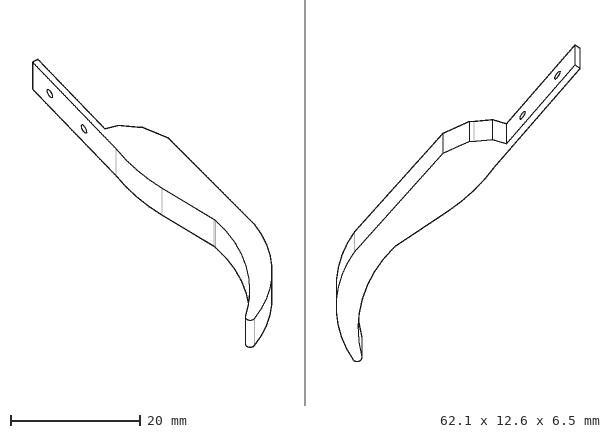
import cadquery as cq
import math

LENGTH = 62.12
DEPTH = 12.6
HEIGHT = 6.5

STRAP_TOP_Y = 6.2
STRAP_THICKNESS = 1.02
STRAP_SLOPE_ANGLE = 0.9
STRAP_SLOPE = math.tan(math.radians(STRAP_SLOPE_ANGLE))
STRAP_TOP_END_X = 17.5
STRAP_BOTTOM_END_X = 21.8

HOLE_DIAMETER = 1.4
FIRST_HOLE_X = 4.5
HOLE_SPACING = 8.9
HOLE_COUNT = 2

HEEL_CORNERS = [(18.25, 8.05), (20.3, 10.15), (20.7, 10.68)]
BACK_START = (24.9, DEPTH)
BACK_END = (47.0, DEPTH)

NOSE_RADIUS = 17.9
TIP_RADIUS = 0.75
TIP_TOP_ANGLE = 20
TIP_BOTTOM_ANGLE = -132
HOOK_RADIUS = 21.3
HOOK_START = (42.7, 8.27)
RAMP_TOP = (42.3, 8.23)
RAMP_BOTTOM = (32.4, 5.65)
BELLY_RADIUS = 31.0


def strap_top(x):
    return (x, STRAP_TOP_Y - STRAP_SLOPE * x)


def strap_bottom(x):
    return (x, STRAP_TOP_Y - STRAP_THICKNESS - STRAP_SLOPE * x)


def tip_point(angle):
    """Point on the tip circle, which touches the +X and -Y limits of the part."""
    turn = math.radians(angle)
    center_x = LENGTH - TIP_RADIUS
    center_y = TIP_RADIUS
    return (center_x + TIP_RADIUS * math.cos(turn), center_y + TIP_RADIUS * math.sin(turn))


def bulge_point(start, end, radius):
    """Middle of the minor arc from start to end that bulges to the left of travel."""
    chord_x = end[0] - start[0]
    chord_y = end[1] - start[1]
    chord = math.hypot(chord_x, chord_y)
    rise = radius - math.sqrt(radius**2 - (chord / 2) ** 2)
    middle_x = (start[0] + end[0]) / 2
    middle_y = (start[1] + end[1]) / 2
    return (middle_x - rise * chord_y / chord, middle_y + rise * chord_x / chord)


def make_body():
    tip_top = tip_point(TIP_TOP_ANGLE)
    tip_middle = tip_point((TIP_TOP_ANGLE + TIP_BOTTOM_ANGLE) / 2)
    tip_bottom = tip_point(TIP_BOTTOM_ANGLE)
    belly_start = strap_bottom(STRAP_BOTTOM_END_X)

    outline = cq.Workplane("XY").moveTo(*strap_top(0)).lineTo(*strap_top(STRAP_TOP_END_X))
    for corner in HEEL_CORNERS:
        outline = outline.lineTo(*corner)
    outline = (
        outline.lineTo(*BACK_START)
        .lineTo(*BACK_END)
        .threePointArc(bulge_point(BACK_END, tip_top, NOSE_RADIUS), tip_top)
        .threePointArc(tip_middle, tip_bottom)
        .threePointArc(bulge_point(HOOK_START, tip_bottom, HOOK_RADIUS), HOOK_START)
        .lineTo(*RAMP_TOP)
        .lineTo(*RAMP_BOTTOM)
        .threePointArc(bulge_point(RAMP_BOTTOM, belly_start, BELLY_RADIUS), belly_start)
        .lineTo(*strap_bottom(0))
        .close()
    )
    return outline.extrude(HEIGHT)


def make_strap_holes():
    """Pins along Y that pierce the strap at mid height."""
    centers = [(FIRST_HOLE_X + i * HOLE_SPACING, HEIGHT / 2) for i in range(HOLE_COUNT)]
    return (
        cq.Workplane("XZ")
        .pushPoints(centers)
        .circle(HOLE_DIAMETER / 2)
        .extrude(-DEPTH)
    )


result = make_body().cut(make_strap_holes())